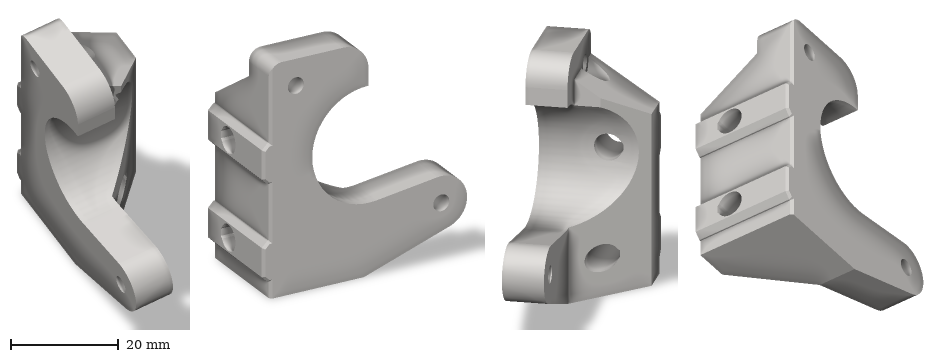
import math

import cadquery as cq


height = 48.0
plate_thickness = 8.0
block_depth = 21.0

throat_x, throat_z, throat_radius = 21.0, 27.0, 12.0
lug_x, lug_z, lug_radius = 36.5, 11.5, 5.5
foot_length = 20.0
top_left_radius = 2.5
top_right_radius = 5.5

screw_diameter = 3.4
screw_head_diameter = 6.2
upper_screw_x = 5.5
upper_screw_z = height - 5.5

block_upper_width = 15.0
roof_rear_z = 33.9
roof_plate_z = upper_screw_z

ridge_height = 1.5
ridge_bevel = 1.2
ridge_tip_width = 6.0
ridge_base_width = ridge_tip_width + 2 * ridge_bevel
lower_ridge_z = 7.6
ridge_pitch = 20.0
ridge_centers_z = (lower_ridge_z, lower_ridge_z + ridge_pitch)
bolt_radius = 2.7
bolt_y = 13.2
bolt_tip_offset = 3.6
bolt_flat_offset = 2.85

front_chamfer = 0.5


def polar(x, z, radius, angle):
    """Point at an angle (radians, from +X towards +Z) on a circle."""
    return (x + radius * math.cos(angle), z + radius * math.sin(angle))


def extrude_back(sketch, depth):
    """Extrude an XZ sketch from its plane towards +Y."""
    return sketch.extrude(-depth)


def hook_plate():
    """Flat plate with the arm that carries the lower lug, solid up to the throat's center."""
    center_distance = math.hypot(lug_x - throat_x, lug_z - throat_z)
    center_angle = math.atan2(lug_z - throat_z, lug_x - throat_x)
    throat_angle = center_angle - math.acos((throat_radius + lug_radius) / center_distance)
    lug_top_angle = throat_angle + math.pi

    corner_distance = math.hypot(foot_length - lug_x, lug_z)
    corner_angle = math.atan2(-lug_z, foot_length - lug_x)
    lug_bottom_angle = corner_angle + math.acos(lug_radius / corner_distance)

    sketch = (
        cq.Workplane("XZ")
        .moveTo(0, 0)
        .lineTo(foot_length, 0)
        .lineTo(*polar(lug_x, lug_z, lug_radius, lug_bottom_angle))
        .threePointArc((lug_x + lug_radius, lug_z), polar(lug_x, lug_z, lug_radius, lug_top_angle))
        .lineTo(*polar(throat_x, throat_z, throat_radius, throat_angle))
        .lineTo(throat_x, throat_z)
        .lineTo(throat_x, height - top_right_radius)
        .radiusArc((throat_x - top_right_radius, height), -top_right_radius)
        .lineTo(0, height)
        .close()
    )
    return extrude_back(sketch, plate_thickness)


def mounting_block():
    """Block of the full depth, backing the plate, with a sloped roof and a 45 degree back corner."""
    sketch = (
        cq.Workplane("XZ")
        .moveTo(0, 0)
        .lineTo(foot_length, 0)
        .lineTo(foot_length, throat_z)
        .lineTo(block_upper_width, throat_z)
        .lineTo(block_upper_width, height)
        .lineTo(0, height)
        .close()
    )
    block = extrude_back(sketch, block_depth)

    side_profile = (
        cq.Workplane("YZ")
        .polyline([
            (0, 0),
            (block_depth, 0),
            (block_depth, roof_rear_z),
            (plate_thickness, roof_plate_z),
            (0, roof_plate_z),
        ])
        .close()
        .extrude(foot_length)
    )
    corner_run = block_depth - plate_thickness
    plan_profile = (
        cq.Workplane("XY")
        .polyline([
            (0, 0),
            (foot_length, 0),
            (foot_length, plate_thickness),
            (foot_length - corner_run, block_depth),
            (0, block_depth),
        ])
        .close()
        .extrude(height)
    )
    return block.intersect(side_profile).intersect(plan_profile)


def throat():
    """Round opening through the plate and the block."""
    sketch = cq.Workplane("XZ").center(throat_x, throat_z).circle(throat_radius)
    return extrude_back(sketch, block_depth)


def ridge(center_z):
    """Bevelled ridge along the full depth of the mounting wall."""
    half_base = ridge_base_width / 2
    half_tip = ridge_tip_width / 2
    shoulder_x = ridge_bevel - ridge_height
    sketch = (
        cq.Workplane("XZ")
        .polyline([
            (0, center_z - half_base),
            (shoulder_x, center_z - half_base),
            (-ridge_height, center_z - half_tip),
            (-ridge_height, center_z + half_tip),
            (shoulder_x, center_z + half_base),
            (0, center_z + half_base),
        ])
        .close()
    )
    return extrude_back(sketch, block_depth)


def bolt_hole(center_z):
    """Hole along X with a 45 degree tip towards +Y that is cut flat."""
    root_spread = math.sqrt(2 * bolt_radius**2 - bolt_tip_offset**2)
    root_y = (bolt_tip_offset + root_spread) / 2
    root_z = (bolt_tip_offset - root_spread) / 2
    flat_z = bolt_tip_offset - bolt_flat_offset
    return (
        cq.Workplane("YZ", origin=(-ridge_height, bolt_y, center_z))
        .moveTo(root_y, root_z)
        .threePointArc((-bolt_radius, 0), (root_y, -root_z))
        .lineTo(bolt_flat_offset, -flat_z)
        .lineTo(bolt_flat_offset, flat_z)
        .close()
        .extrude(ridge_height + foot_length)
    )


def screw_hole(x, z):
    """Clearance hole through the plate, widened behind it to let the screw head pass."""
    shank = extrude_back(
        cq.Workplane("XZ").center(x, z).circle(screw_diameter / 2), plate_thickness
    )
    head = extrude_back(
        cq.Workplane("XZ", origin=(x, plate_thickness, z)).circle(screw_head_diameter / 2),
        block_depth - plate_thickness,
    )
    return shank.union(head)


def chamfer_wall_front(body):
    """Chamfer the front edges of the mounting wall and its ridges."""
    margin = 0.01
    wall_edges = cq.selectors.BoxSelector(
        (-ridge_height - margin, -margin, margin),
        (margin, margin, height - margin),
    )
    return body.edges(wall_edges).chamfer(front_chamfer)


block = mounting_block()
for ridge_z in ridge_centers_z:
    block = block.union(ridge(ridge_z))
body = hook_plate().union(block).cut(throat())
body = chamfer_wall_front(body)

top_left_corner = cq.selectors.NearestToPointSelector((0, plate_thickness / 2, height))
body = body.edges("|Y").edges(top_left_corner).fillet(top_left_radius)

for ridge_z in ridge_centers_z:
    body = body.cut(bolt_hole(ridge_z))
body = body.cut(screw_hole(upper_screw_x, upper_screw_z))
body = body.cut(screw_hole(lug_x, lug_z))

result = body